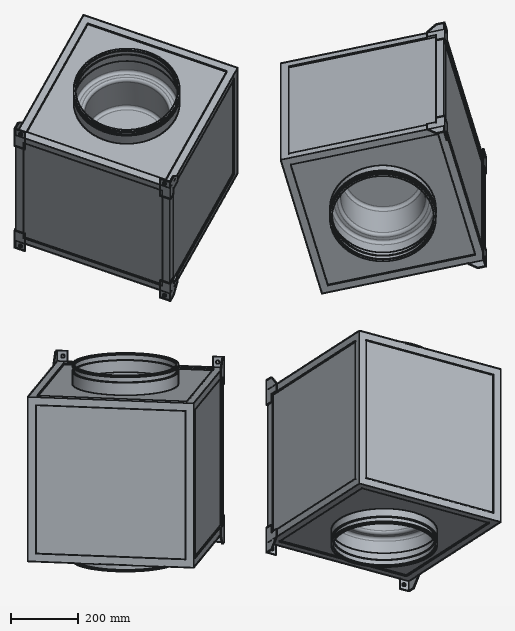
import cadquery as cq

BOX = 500.0
FRAME_WIDTH = 24.5
PANEL_RECESS = 5.0
PANEL = BOX - 2 * FRAME_WIDTH
PANEL_LEVEL = BOX / 2 - PANEL_RECESS

OVERALL_HEIGHT = 595.0
TOP_COLLAR_END = 304.0
BOTTOM_COLLAR_END = OVERALL_HEIGHT - TOP_COLLAR_END
SHEET = 1.0
SLEEVE_RADIUS = 157.5
SLEEVE_BORE = SLEEVE_RADIUS - SHEET
NECK_RADIUS = 152.5
NECK_BORE = NECK_RADIUS - SHEET
NECK_LENGTH = 20.0
LIP_THICKNESS = 5.0

BEND_RADIUS = 10.0
THROAT_RADIUS = 126.0
SHELF_DEPTH = 49.5
FLOOR_DEPTH = 178.5

BRACKET_THICKNESS = 3.0
BRACKET_HEIGHT = 81.0
BRACKET_TOP = 281.5
FLANGE_WIDTH = 34.0
SIDE_ARM = 55.0
SIDE_WIDTH = 26.0
HOLE_DIAMETER = 10.0
HOLE_FROM_EDGE = 19.5
HOLE_FROM_TOP = 16.5


def make_housing():
    """Cube with a shallow square recess in each of its six faces."""
    housing = cq.Workplane("XY").box(BOX, BOX, BOX)
    for face in (">X", "<X", ">Y", "<Y", ">Z", "<Z"):
        housing = (
            housing.faces(face).workplane(centerOption="CenterOfBoundBox")
            .rect(PANEL, PANEL).cutBlind(-PANEL_RECESS)
        )
    return housing


def revolve_about_z(profile):
    """Close a half profile drawn on the XZ plane and spin it about Z."""
    return profile.close().revolve(360, (0, 0, 0), (0, 1, 0))


def collar_body(end):
    """Solid sleeve, narrower neck and end lip, reaching up to z = end."""
    neck_start = end - NECK_LENGTH
    lip_start = end - LIP_THICKNESS
    return revolve_about_z(
        cq.Workplane("XZ")
        .moveTo(0, PANEL_LEVEL)
        .lineTo(SLEEVE_RADIUS, PANEL_LEVEL)
        .lineTo(SLEEVE_RADIUS, neck_start)
        .lineTo(NECK_RADIUS, neck_start)
        .lineTo(NECK_RADIUS, lip_start)
        .lineTo(SLEEVE_RADIUS, lip_start)
        .lineTo(SLEEVE_RADIUS, end)
        .lineTo(0, end)
    )


def collar_bore(end):
    """Cavity from z = end down past a rounded shelf to a rounded blind floor."""
    shelf = PANEL_LEVEL - SHELF_DEPTH
    floor = PANEL_LEVEL - FLOOR_DEPTH
    bore_step = end - NECK_LENGTH - SHEET
    return revolve_about_z(
        cq.Workplane("XZ")
        .moveTo(0, end)
        .lineTo(NECK_BORE, end)
        .lineTo(NECK_BORE, bore_step)
        .lineTo(SLEEVE_BORE, bore_step)
        .lineTo(SLEEVE_BORE, shelf + BEND_RADIUS)
        .radiusArc((SLEEVE_BORE - BEND_RADIUS, shelf), BEND_RADIUS)
        .lineTo(THROAT_RADIUS + BEND_RADIUS, shelf)
        .radiusArc((THROAT_RADIUS, shelf - BEND_RADIUS), -BEND_RADIUS)
        .lineTo(THROAT_RADIUS, floor + BEND_RADIUS)
        .radiusArc((THROAT_RADIUS - BEND_RADIUS, floor), BEND_RADIUS)
        .lineTo(0, floor)
    )


def make_bracket():
    """Angle bracket for the upper -X, -Y corner."""
    half = BOX / 2
    outer = -half - BRACKET_THICKNESS
    bottom = BRACKET_TOP - BRACKET_HEIGHT
    side = (
        cq.Workplane("YZ", origin=(outer, 0, 0))
        .moveTo(outer, bottom)
        .lineTo(outer, BRACKET_TOP)
        .lineTo(outer + SIDE_WIDTH, BRACKET_TOP)
        .lineTo(outer + SIDE_ARM, half)
        .lineTo(outer + SIDE_ARM, half - FRAME_WIDTH)
        .lineTo(outer + SIDE_WIDTH, half - FRAME_WIDTH)
        .lineTo(outer + SIDE_WIDTH, bottom)
        .close()
        .extrude(BRACKET_THICKNESS)
    )
    flange = cq.Workplane("XY").box(
        FLANGE_WIDTH, BRACKET_THICKNESS, BRACKET_HEIGHT, centered=False
    ).translate((outer, outer, bottom))
    hole = (
        cq.Workplane("XZ", origin=(0, -half, 0))
        .center(outer + HOLE_FROM_EDGE, BRACKET_TOP - HOLE_FROM_TOP)
        .circle(HOLE_DIAMETER / 2)
        .extrude(BRACKET_THICKNESS)
    )
    return side.union(flange).cut(hole)


result = make_housing()

top_body = collar_body(TOP_COLLAR_END)
top_bore = collar_bore(TOP_COLLAR_END)
bottom_body = collar_body(BOTTOM_COLLAR_END).mirror("XY")
bottom_bore = collar_bore(BOTTOM_COLLAR_END).mirror("XY")
result = result.union(top_body).union(bottom_body).cut(top_bore).cut(bottom_bore)

upper_left = make_bracket()
upper_right = upper_left.mirror("YZ")
for bracket in (upper_left, upper_right):
    result = result.union(bracket).union(bracket.mirror("XY"))